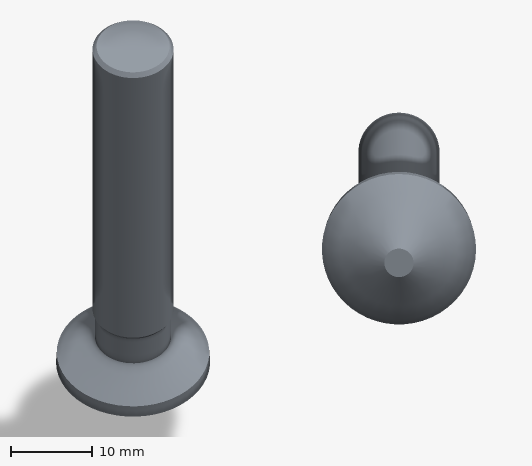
import cadquery as cq

overall_length = 63.0
shank_diameter = 10.0
neck_diameter = 9.4
head_diameter = 19.0
rim_top_diameter = 18.8
tip_diameter = 3.6

cone_height = (head_diameter - tip_diameter) / 2
rim_height = 1.7
shoulder_height = 2.8
neck_height = 4.3
shank_top_chamfer = 0.5
shank_bottom_taper_height = 0.5

rim_top = cone_height + rim_height
shoulder_top = rim_top + shoulder_height
neck_top = shoulder_top + neck_height
shank_bottom = neck_top + shank_bottom_taper_height


def build_countersink():
    """Revolve the half profile of cone, rim, shoulder, neck and shank about Z."""
    shank_radius = shank_diameter / 2
    neck_radius = neck_diameter / 2
    profile = (
        cq.Workplane("YZ")
        .moveTo(0, 0)
        .lineTo(-tip_diameter / 2, 0)
        .lineTo(-head_diameter / 2, cone_height)
        .lineTo(-rim_top_diameter / 2, rim_top)
        .lineTo(-neck_radius, shoulder_top)
        .lineTo(-neck_radius, neck_top)
        .lineTo(-shank_radius, shank_bottom)
        .lineTo(-shank_radius, overall_length - shank_top_chamfer)
        .lineTo(-shank_radius + shank_top_chamfer, overall_length)
        .lineTo(0, overall_length)
        .close()
    )
    return profile.revolve(360, (0, 0, 0), (0, 1, 0))


result = build_countersink()